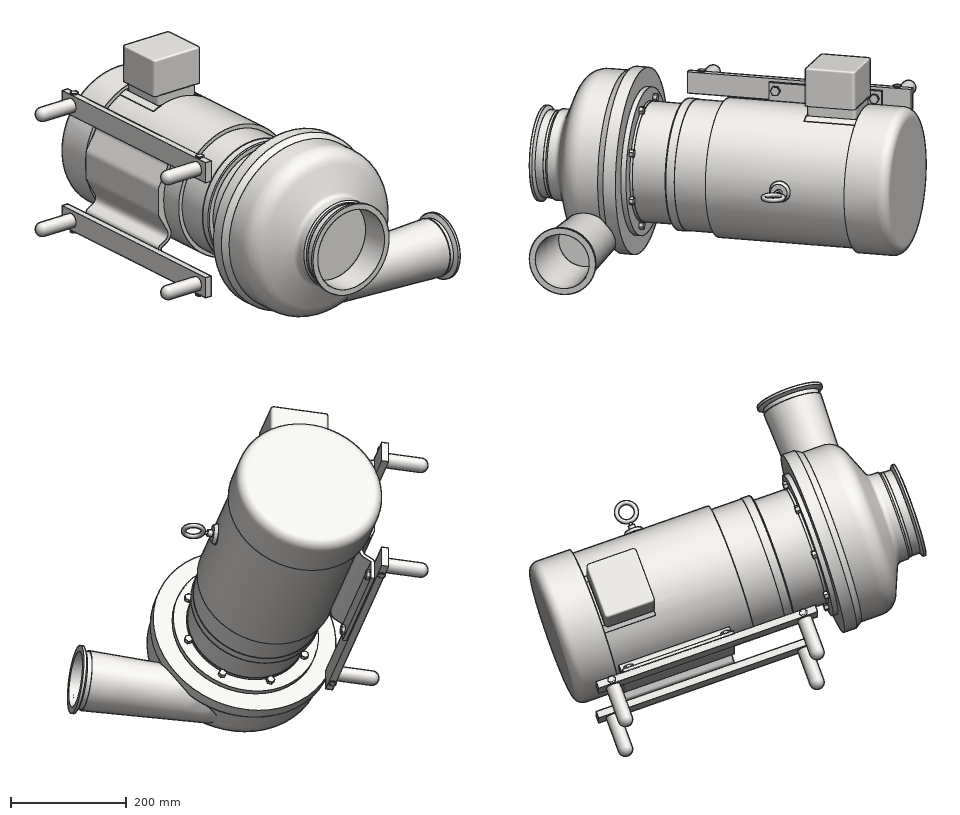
import cadquery as cq
import math


cowl_radius = 129.2
cowl_length = 77.5
cowl_fillet = 18.0
motor_radius = 121.5
motor_end = 329.5
adapter_radius = 228.0 / 2
adapter_end = 387.0
adapter_ring_radius = 230 / 2
adapter_ring_end = 404.5
adapter_ring_chamfer = 2.0
neck_radius = 210.0 / 2
collar_start = 465.5
collar_radius = 106.0

plate_start = 470.0
plate_radius = 129.2
rim_start = 479.5
rim_radius = 325.5 / 2
rim_end = 502.0
casing_start = 513.5
casing_radius = 155.0
shoulder_start = 551.0
shoulder_radius = 36.0
shoulder_angle = math.radians(68)
throat_start = 604.0
throat_fillet = 10.5
sleeve_radius = 159.0 / 2
sleeve_end = 627.0
sleeve_taper_end = 630.0
sleeve_tip_end = 634.5
sleeve_tip_radius = 154.0 / 2
inlet_tube_radius = 152.5 / 2
inlet_bore_radius = 146.5 / 2
inlet_ferrule_radius = 167.0 / 2
overall_length = 657.5

plate_bolt_count = 8
plate_bolt_circle_radius = 112
plate_bolt_head_width = 14.0
plate_bolt_head_height = 7.0

outlet_x = 539
outlet_z = -108.0
outlet_face_y = 286.0
outlet_tube_length = 16.5
outlet_tube_radius = 102.0 / 2
outlet_cone_large_radius = 52.5
outlet_cone_small_radius = 43.0
outlet_bore_radius = 97.0 / 2
outlet_ferrule_radius = 119.0 / 2

ferrule_rim = 4.5
ferrule_taper = 4.0

box_start = 81.0
box_end = 171.5
box_width = 102.0
box_bottom = 136.0
box_top = 204
box_corner_fillet = 6.0
box_lid_fillet = 3.0
box_base_inset = 1.0
box_base_width = 82.0
saddle_width = 106.5
saddle_edge_z = 110.15
saddle_top_z = 116.5

eye_x = 195.0
eye_y = 162.0
eye_wire = 8.0
eye_ring_radius = 17.0
eye_shank_diameter = 5.7
eye_collar_diameter = 12.0
eye_collar_top = 137.0
eye_boss_top = 128.0
eye_boss_top_diameter = 29.5
eye_boss_base_diameter = 37.5
eye_boss_base_y = 121.5

rail_start = 33.5
rail_length = 402.5
rail_back_y = -133.5
rail_thickness = 12.5
rail_height = 38.0
rail_z = 108.2
pin_diameter = 25.5
pin_tip_y = -222.0
pin_positions_x = (60.0, 411.5)
rail_screw_width = 14.5
rail_screw_head_height = 2.0
rail_screw_shank_diameter = 8.0
rail_screw_shank_height = 2.0

foot_start = 84.0
foot_length = 203.0
foot_thickness = 6.5
foot_top_z = 121.5
foot_bend_z = 85.0
foot_bend_fillet = 8.0
foot_root_fillet = 12.0
foot_tilt = math.radians(30)
pad_edge_fillet = 20
foot_bolt_positions_x = (96.5, 275.0)
foot_bolt_head_width = 17.0
foot_bolt_head_height = 6.0


def shaft_body():
    """Motor, coupling housing, casing and inlet, turned about the X axis."""
    shoulder_end_x = shoulder_start + shoulder_radius * math.sin(shoulder_angle)
    shoulder_end_r = casing_radius - shoulder_radius * (1 - math.cos(shoulder_angle))
    shoulder_mid_x = shoulder_start + shoulder_radius * math.sin(shoulder_angle / 2)
    shoulder_mid_r = casing_radius - shoulder_radius * (1 - math.cos(shoulder_angle / 2))
    throat_radius = sleeve_radius + throat_fillet * (1 - math.cos(shoulder_angle))
    profile = (
        cq.Workplane("XY")
        .moveTo(0, 0)
        .lineTo(0, cowl_radius - cowl_fillet)
        .radiusArc((cowl_fillet, cowl_radius), cowl_fillet)
        .lineTo(cowl_length, cowl_radius)
        .lineTo(cowl_length, motor_radius)
        .lineTo(motor_end, motor_radius)
        .lineTo(motor_end, adapter_radius)
        .lineTo(adapter_end, adapter_radius)
        .lineTo(adapter_end, adapter_ring_radius)
        .lineTo(adapter_ring_end - adapter_ring_chamfer, adapter_ring_radius)
        .lineTo(adapter_ring_end, adapter_ring_radius - adapter_ring_chamfer)
        .lineTo(adapter_ring_end, neck_radius)
        .lineTo(collar_start, neck_radius)
        .lineTo(collar_start, collar_radius)
        .lineTo(plate_start, collar_radius)
        .lineTo(plate_start, plate_radius)
        .lineTo(rim_start, plate_radius)
        .lineTo(rim_start, rim_radius)
        .lineTo(rim_end, rim_radius)
        .lineTo(casing_start, casing_radius)
        .lineTo(shoulder_start, casing_radius)
        .threePointArc((shoulder_mid_x, shoulder_mid_r), (shoulder_end_x, shoulder_end_r))
        .lineTo(throat_start, throat_radius)
        .radiusArc((throat_start + throat_fillet * math.sin(shoulder_angle), sleeve_radius), -throat_fillet)
        .lineTo(sleeve_end, sleeve_radius)
        .lineTo(sleeve_taper_end, sleeve_tip_radius)
        .lineTo(sleeve_tip_end, sleeve_tip_radius)
        .lineTo(sleeve_tip_end, inlet_tube_radius)
        .lineTo(overall_length - ferrule_rim - ferrule_taper, inlet_tube_radius)
        .lineTo(overall_length - ferrule_rim, inlet_ferrule_radius)
        .lineTo(overall_length, inlet_ferrule_radius)
        .lineTo(overall_length, inlet_bore_radius)
        .lineTo(throat_start, inlet_bore_radius)
        .lineTo(throat_start, 0)
        .close()
    )
    return profile.revolve(360, (0, 0, 0), (1, 0, 0))


def outlet_pipe():
    """Tapered outlet pipe with its clamp ferrule, bored down to the casing."""
    tube_end_y = outlet_face_y - outlet_tube_length
    taper_start_y = outlet_face_y - ferrule_rim - ferrule_taper
    bore_slope = (outlet_cone_large_radius - outlet_cone_small_radius) / tube_end_y
    bore_bottom_y = casing_radius
    bore_bottom_radius = outlet_bore_radius - bore_slope * (tube_end_y - bore_bottom_y)
    profile = (
        cq.Workplane("XY")
        .moveTo(0, 0)
        .lineTo(outlet_cone_small_radius, 0)
        .lineTo(outlet_cone_large_radius, tube_end_y)
        .lineTo(outlet_tube_radius, tube_end_y)
        .lineTo(outlet_tube_radius, taper_start_y)
        .lineTo(outlet_ferrule_radius, outlet_face_y - ferrule_rim)
        .lineTo(outlet_ferrule_radius, outlet_face_y)
        .lineTo(outlet_bore_radius, outlet_face_y)
        .lineTo(outlet_bore_radius, tube_end_y)
        .lineTo(bore_bottom_radius, bore_bottom_y)
        .lineTo(0, bore_bottom_y)
        .close()
    )
    return profile.revolve(360, (0, 0, 0), (0, 1, 0)).translate((outlet_x, 0, outlet_z))


def plate_bolts():
    """Hexagon heads spread evenly around the neck on the casing plate."""
    return (
        cq.Workplane("YZ", origin=(plate_start - plate_bolt_head_height, 0, 0))
        .polarArray(plate_bolt_circle_radius, 180 / plate_bolt_count, 360, plate_bolt_count)
        .polygon(6, plate_bolt_head_width)
        .extrude(plate_bolt_head_height)
    )


def terminal_box():
    """Rounded box on a narrower base, with a low saddle where the base meets the motor."""
    box_length = box_end - box_start
    box_middle = (box_start + box_end) / 2
    box = (
        cq.Workplane("XY", origin=(box_middle, 0, box_bottom))
        .rect(box_length, box_width)
        .extrude(box_top - box_bottom)
        .edges("|Z")
        .fillet(box_corner_fillet)
        .faces(">Z")
        .edges()
        .fillet(box_lid_fillet)
    )
    base_floor = motor_radius / 2
    base = (
        cq.Workplane("XY", origin=(box_middle, 0, base_floor))
        .rect(box_length - 2 * box_base_inset, box_base_width)
        .extrude(box_bottom - base_floor)
        .edges("|Z")
        .fillet(box_corner_fillet)
    )
    saddle = (
        cq.Workplane("YZ", origin=(cowl_length, 0, 0))
        .polyline([
            (-saddle_width / 2, base_floor),
            (-saddle_width / 2, saddle_edge_z),
            (-box_base_width / 2, saddle_top_z),
            (box_base_width / 2, saddle_top_z),
            (saddle_width / 2, saddle_edge_z),
            (saddle_width / 2, base_floor),
        ])
        .close()
        .extrude(box_end - cowl_length)
    )
    return box.union(base).union(saddle)


def lifting_eye():
    """Ring, shank and collar standing on a conical boss on the motor's +Y side."""
    ring = cq.Workplane("XY").add(
        cq.Solid.makeTorus(
            eye_ring_radius, eye_wire / 2, cq.Vector(eye_x, eye_y, 0), cq.Vector(0, 0, 1)
        )
    )
    shank_top = eye_y - eye_ring_radius
    stem = (
        cq.Workplane("XY")
        .moveTo(0, motor_radius - eye_wire)
        .lineTo(eye_boss_base_diameter / 2, motor_radius - eye_wire)
        .lineTo(eye_boss_base_diameter / 2, eye_boss_base_y)
        .lineTo(eye_boss_top_diameter / 2, eye_boss_top)
        .lineTo(eye_collar_diameter / 2, eye_boss_top)
        .lineTo(eye_collar_diameter / 2, eye_collar_top)
        .lineTo(eye_shank_diameter / 2, eye_collar_top)
        .lineTo(eye_shank_diameter / 2, shank_top)
        .lineTo(0, shank_top)
        .close()
        .revolve(360, (0, 0, 0), (0, 1, 0))
        .translate((eye_x, 0, 0))
    )
    return ring.union(stem)


def upper_rail():
    """Rail with two round-nosed pins, each locked by a screw from above."""
    rail_front_y = rail_back_y - rail_thickness
    rail_middle_y = rail_back_y - rail_thickness / 2
    rail_top_z = rail_z + rail_height / 2
    rail = cq.Workplane("XY").box(rail_length, rail_thickness, rail_height, centered=(False, True, True))
    rail = rail.translate((rail_start, rail_middle_y, rail_z))
    for x in pin_positions_x:
        pin = (
            cq.Workplane("XZ", origin=(x, rail_front_y, rail_z))
            .circle(pin_diameter / 2)
            .extrude(rail_front_y - pin_tip_y - pin_diameter / 2)
        )
        nose = cq.Workplane("XY", origin=(x, pin_tip_y + pin_diameter / 2, rail_z)).sphere(pin_diameter / 2)
        screw = (
            cq.Workplane("XY", origin=(x, rail_middle_y, rail_top_z))
            .circle(rail_screw_shank_diameter / 2)
            .extrude(rail_screw_shank_height)
            .faces(">Z")
            .workplane()
            .polygon(6, rail_screw_width)
            .extrude(rail_screw_head_height)
        )
        rail = rail.union(pin).union(nose).union(screw)
    return rail


slope_out = motor_radius + foot_thickness


def tilted_point(out, up):
    """The (Y, Z) place of a point given along and across the tilted line."""
    y = up * math.sin(foot_tilt) - out * math.cos(foot_tilt)
    z = up * math.cos(foot_tilt) + out * math.sin(foot_tilt)
    return (y, z)


leg_lower_up = rail_back_y * math.sin(foot_tilt) + foot_bend_z * math.cos(foot_tilt)
leg_upper_up = leg_lower_up + foot_thickness
leg_root_up = leg_lower_up - foot_root_fillet


def upper_foot():
    """Folded sheet: a plate behind the rail and a leg that curves down onto the motor, with bolts."""
    inner_y = rail_back_y + foot_thickness
    inner_bend_z = (leg_upper_up - inner_y * math.sin(foot_tilt)) / math.cos(foot_tilt)
    outer_root_fillet = foot_root_fillet + foot_thickness
    foot = (
        cq.Workplane("YZ", origin=(foot_start, 0, 0))
        .moveTo(rail_back_y, foot_top_z)
        .lineTo(rail_back_y, foot_bend_z)
        .lineTo(*tilted_point(slope_out + foot_root_fillet, leg_lower_up))
        .radiusArc(tilted_point(slope_out, leg_root_up), foot_root_fillet)
        .lineTo(*tilted_point(motor_radius, leg_root_up))
        .radiusArc(tilted_point(motor_radius + outer_root_fillet, leg_upper_up), -outer_root_fillet)
        .lineTo(inner_y, inner_bend_z)
        .lineTo(inner_y, foot_top_z)
        .close()
        .extrude(foot_length)
        .edges(cq.selectors.NearestToPointSelector((foot_start + foot_length / 2, rail_back_y, foot_bend_z)))
        .fillet(foot_bend_fillet)
    )
    heads = (
        cq.Workplane("XZ", origin=(0, inner_y + foot_bolt_head_height, 0))
        .pushPoints([(x, rail_z) for x in foot_bolt_positions_x])
        .polygon(6, foot_bolt_head_width)
        .extrude(foot_bolt_head_height)
    )
    return foot.union(heads)


def pad():
    """Flat-faced pad on the motor, its two sloping sides running up to the roots of the feet."""
    half_width = (slope_out + rail_back_y * math.cos(foot_tilt)) / math.sin(foot_tilt)
    root_y, root_z = tilted_point(slope_out, leg_root_up)
    return (
        cq.Workplane("YZ", origin=(foot_start, 0, 0))
        .polyline([
            (rail_back_y, half_width),
            (rail_back_y, -half_width),
            (root_y, -root_z),
            (0, 0),
            (root_y, root_z),
        ])
        .close()
        .extrude(foot_length)
        .faces("<Y")
        .edges("|X")
        .fillet(pad_edge_fillet)
    )


upper_mount = upper_rail().union(upper_foot())
lower_mount = upper_mount.mirror("XY")

result = (
    shaft_body()
    .union(outlet_pipe())
    .union(plate_bolts())
    .union(terminal_box())
    .union(lifting_eye())
    .union(pad())
    .union(upper_mount)
    .union(lower_mount)
)